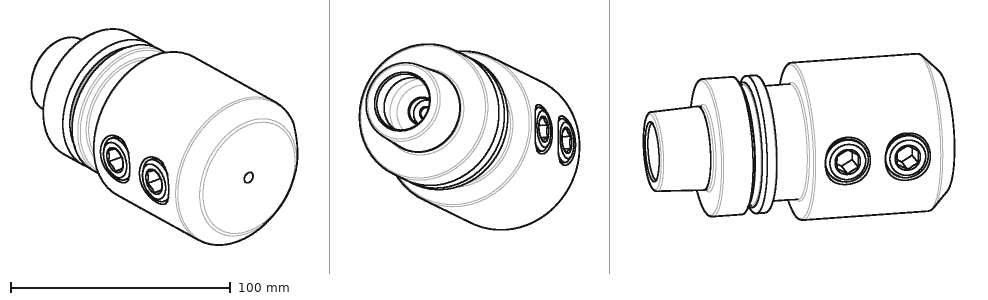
import cadquery as cq
import math


total_length = 135
body_diameter = 72.0
body_radius = body_diameter / 2
edge_radius = 0.8

taper_tip_radius = 18.1
taper_rounding = 1.0
taper_base_radius = 19.2
taper_end = 22.8
relief_radius = 19.0

flange_start = 25.0
flange_end = 51.0
flange_radius = 31.5
groove_radius = 27.5
groove_start = 41.3
groove_end = 44.7
groove_rounding = 0.4
flank_length = 1.6
flank_depth = 2.8

neck_radius = 26.3
body_start = 67.0
nose_chamfer = 8.1
nose_outer_rounding = 1.5
nose_tip_rounding = 2.0

flat_depth = 3.2
flat_start = 83.4

bore_radius = 13.0
bore_length = 9.9
bore_mouth_radius = 13.6
bore_mouth_length = 1.1
undercut_radius = 14.5
undercut_end = 23
undercut_floor_fillet = 2.4
counterbore_radius = 6.0
counterbore_depth = 5.4
counterbore_chamfer = 0.4
channel_radius = 2.5
channel_chamfer = 0.4

screw_radius = 10.0
screw_length = 21.6
screw_chamfer = 1.6
screw_pitch = 28.1
first_screw_x = 82.9
screw_count = 2
socket_width = 9.9
socket_depth = 12.2
socket_mouth_radius = 6.0
socket_mouth_depth = 0.5
screw_positions = [first_screw_x + i * screw_pitch for i in range(screw_count)]

lead_in_half_length = 10.5
lead_in_half_height = 13.0
lead_in_depth = 3.1


def turned(profile):
    """Turn a closed profile of (X, radius) about the X axis."""
    return profile.close().revolve(360, (0, 0, 0), (1, 0, 0))


def circle_edges(solid, x, radius):
    """Pick the circular edges of one radius at one X position."""
    tolerance = 0.001
    return solid.edges("%CIRCLE").filter(
        lambda edge: abs(edge.arcCenter().x - x) < tolerance and abs(edge.radius() - radius) < tolerance
    )


def blank():
    """Taper, flange, neck and clamping body as one turned solid with rounded edges."""
    nose_start = total_length - nose_chamfer
    nose_radius = body_radius - nose_chamfer
    profile = cq.Workplane("XY").polyline([
        (0, 0),
        (0, taper_tip_radius),
        (taper_end, taper_base_radius),
        (taper_end, relief_radius),
        (flange_start, relief_radius),
        (flange_start, flange_radius),
        (groove_start - flank_length, flange_radius),
        (groove_start, flange_radius - flank_depth),
        (groove_start, groove_radius),
        (groove_end, groove_radius),
        (groove_end, flange_radius - flank_depth),
        (groove_end + flank_length, flange_radius),
        (flange_end, flange_radius),
        (flange_end, neck_radius),
        (body_start, neck_radius),
        (body_start, body_radius),
        (nose_start, body_radius),
        (total_length, nose_radius),
        (total_length, 0),
    ])
    solid = turned(profile)
    roundings = [
        (0, taper_tip_radius, taper_rounding),
        (flange_start, relief_radius, taper_rounding),
        (flange_start, flange_radius, edge_radius),
        (groove_start, groove_radius, groove_rounding),
        (groove_end, groove_radius, groove_rounding),
        (flange_end, flange_radius, edge_radius),
        (flange_end, neck_radius, edge_radius),
        (body_start, neck_radius, edge_radius),
        (body_start, body_radius, edge_radius),
        (nose_start, body_radius, nose_outer_rounding),
        (total_length, nose_radius, nose_tip_rounding),
    ]
    for x, radius, rounding in roundings:
        solid = circle_edges(solid, x, radius).fillet(rounding)
    return solid


def stepped_bore():
    """Tool for the bore, its undercut, the counterbore in the floor and the channel through the holder."""
    counterbore_floor = undercut_end + counterbore_depth
    profile = (
        cq.Workplane("XY")
        .moveTo(0, 0)
        .lineTo(0, bore_mouth_radius)
        .lineTo(bore_mouth_length, bore_radius)
        .lineTo(bore_length, bore_radius)
        .lineTo(bore_length, undercut_radius)
        .lineTo(undercut_end - undercut_floor_fillet, undercut_radius)
        .radiusArc((undercut_end, undercut_radius - undercut_floor_fillet), undercut_floor_fillet)
        .lineTo(undercut_end, counterbore_radius + counterbore_chamfer)
        .lineTo(undercut_end + counterbore_chamfer, counterbore_radius)
        .lineTo(counterbore_floor, counterbore_radius)
        .lineTo(counterbore_floor, channel_radius + channel_chamfer)
        .lineTo(counterbore_floor + channel_chamfer, channel_radius)
        .lineTo(total_length, channel_radius)
        .lineTo(total_length, 0)
    )
    return turned(profile)


def side_flat():
    """Tool for the flat on the +Y side, with its 45 degree ramp."""
    return (
        cq.Workplane("XY")
        .polyline([
            (flat_start, body_radius),
            (flat_start + flat_depth, body_radius - flat_depth),
            (total_length, body_radius - flat_depth),
            (total_length, body_radius),
        ])
        .close()
        .extrude(body_radius, both=True)
    )


def crest_plane(x):
    """Plane touching the -Y crest of the clamping body at x, facing outward."""
    return cq.Workplane(cq.Plane((x, -body_radius, 0), xDir=(1, 0, 0), normal=(0, -1, 0)))


def screw_hole(x):
    """Tool for one screw hole with its oval lead-in."""
    hole = crest_plane(x).circle(screw_radius).extrude(-screw_length)
    lead_in = (
        crest_plane(x)
        .ellipse(lead_in_half_length, lead_in_half_height)
        .workplane(offset=-lead_in_depth)
        .circle(screw_radius)
        .loft(ruled=True)
    )
    return hole.union(lead_in)


def make_holder():
    holder = blank().cut(stepped_bore()).cut(side_flat())
    for x in screw_positions:
        holder = holder.cut(screw_hole(x))
    return holder


def make_screw(x):
    """Set screw with a flat chamfered head end and a hexagon socket."""
    socket_diameter = socket_width / math.cos(math.pi / 6)
    screw = crest_plane(x).circle(screw_radius).extrude(-screw_length)
    screw = screw.faces("<Y").chamfer(screw_chamfer)
    socket = (
        crest_plane(x)
        .transformed(rotate=(0, 0, 90))
        .polygon(6, socket_diameter)
        .extrude(-socket_depth)
    )
    mouth = (
        crest_plane(x)
        .circle(socket_mouth_radius)
        .workplane(offset=-socket_mouth_depth)
        .circle(socket_width / 2)
        .loft(ruled=True)
    )
    return screw.cut(socket).cut(mouth)


holder = make_holder()
screws = [make_screw(x) for x in screw_positions]

result = cq.Compound.makeCompound([holder.val(), *[screw.val() for screw in screws]])